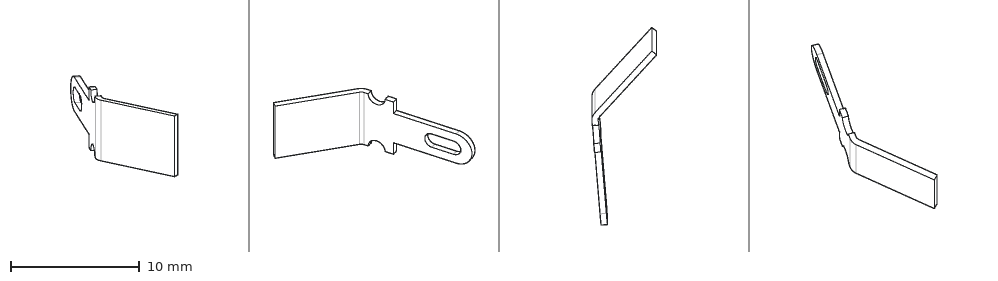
import cadquery as cq
import math

thickness = 0.5
height = 5.0
bend_angle = 45.0
inner_radius = 0.5
outer_radius = inner_radius + thickness

leaf_length = 6.79
arm_length = 9.58

shoulder_length = 2.6
tongue_width = 2.8
notch_diameter = 1.5
notch_position = 1.1
slot_length = 3.2
slot_width = 1.25
slot_tip_margin = 1.0
slot_position = arm_length - slot_tip_margin - slot_length / 2

angle = math.radians(bend_angle)
arm_start = (-outer_radius * math.sin(angle), outer_radius * (1 - math.cos(angle)))


def bend_point(radius, sweep):
    """Point on the bend, swept from the leaf towards the arm."""
    return (-radius * math.sin(sweep), outer_radius - radius * math.cos(sweep))


def make_leaf_and_bend():
    return (
        cq.Workplane("XY")
        .moveTo(leaf_length, 0)
        .lineTo(0, 0)
        .threePointArc(bend_point(outer_radius, angle / 2), bend_point(outer_radius, angle))
        .lineTo(*bend_point(inner_radius, angle))
        .threePointArc(bend_point(inner_radius, angle / 2), (0, thickness))
        .lineTo(leaf_length, thickness)
        .close()
        .extrude(height / 2, both=True)
    )


def make_arm():
    plane = cq.Plane(
        origin=(*arm_start, 0),
        xDir=(-math.cos(angle), math.sin(angle), 0),
        normal=(math.sin(angle), math.cos(angle), 0),
    )
    face = cq.Workplane(plane)
    tongue_half = tongue_width / 2
    tongue_straight_end = arm_length - tongue_half

    shoulder = face.center(shoulder_length / 2, 0).rect(shoulder_length, height).extrude(thickness)
    tongue = (
        cq.Workplane(plane)
        .moveTo(0, -tongue_half)
        .lineTo(tongue_straight_end, -tongue_half)
        .threePointArc((arm_length, 0), (tongue_straight_end, tongue_half))
        .lineTo(0, tongue_half)
        .close()
        .extrude(thickness)
    )
    slot = cq.Workplane(plane).center(slot_position, 0).slot2D(slot_length, slot_width).extrude(thickness)
    notches = (
        cq.Workplane(plane)
        .pushPoints([(notch_position, side * height / 2) for side in (-1, 1)])
        .circle(notch_diameter / 2)
        .extrude(thickness)
    )
    return shoulder.union(tongue).cut(slot).cut(notches)


result = make_leaf_and_bend().union(make_arm())